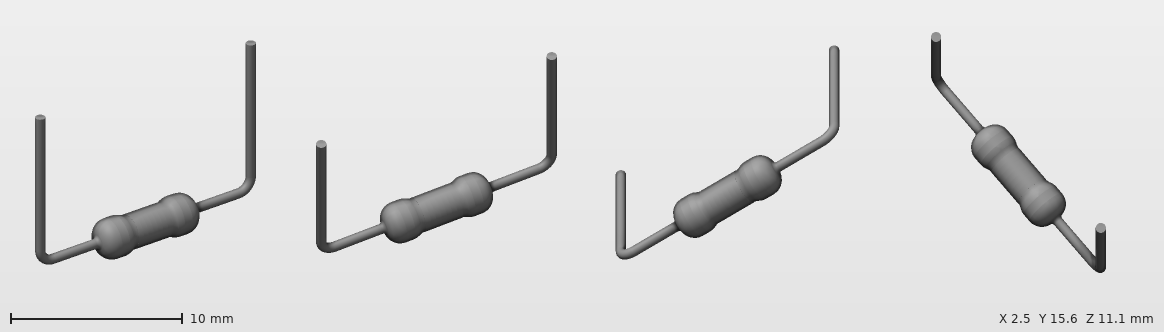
import cadquery as cq
import math


wire_diameter = 0.6
lead_pitch = 15.0
bend_radius = 0.9
lead_top = 9.85

cap_diameter = 2.5
waist_diameter = 2.12
waist_half_length = 1.2
cap_inner_end = 1.95
cap_outer_end = 2.5
cap_rounding = 0.91
collar_fillet = 0.25

sleeve_diameter = 2.15
ring_count = 7

wire_radius = wire_diameter / 2
cap_radius = cap_diameter / 2
waist_radius = waist_diameter / 2
sleeve_radius = sleeve_diameter / 2


def point_on_arc(center, radius, angle):
    """Point in the (Y, radius) half plane; the angle is measured from +Y."""
    return (center[0] + radius * math.cos(angle), center[1] + radius * math.sin(angle))


def make_cap():
    """The +Y cap with its shoulder and collar, revolved about the Y axis."""
    shoulder_length = cap_inner_end - waist_half_length
    shoulder_rise = cap_radius - waist_radius
    shoulder_radius = (shoulder_length**2 + shoulder_rise**2) / (4 * shoulder_rise)
    shoulder_angle = math.asin(shoulder_length / 2 / shoulder_radius)
    concave_center = (waist_half_length, waist_radius + shoulder_radius)
    convex_center = (cap_inner_end, cap_radius - shoulder_radius)
    concave_middle = point_on_arc(concave_center, shoulder_radius, (shoulder_angle - math.pi) / 2)
    convex_middle = point_on_arc(convex_center, shoulder_radius, (shoulder_angle + math.pi) / 2)
    shoulder_middle = (
        (waist_half_length + cap_inner_end) / 2,
        (waist_radius + cap_radius) / 2,
    )

    rounding_center = (cap_outer_end, cap_radius - cap_rounding)
    center_distance = cap_rounding + collar_fillet
    collar_center_radius = wire_radius + collar_fillet
    contact_angle = math.asin((collar_center_radius - rounding_center[1]) / center_distance)
    collar_center = point_on_arc(rounding_center, center_distance, contact_angle)
    contact = point_on_arc(rounding_center, cap_rounding, contact_angle)
    rounding_middle_angle = (contact_angle + math.pi / 2) / 2
    rounding_middle = point_on_arc(rounding_center, cap_rounding, rounding_middle_angle)
    collar_middle_angle = math.pi + rounding_middle_angle
    collar_middle = point_on_arc(collar_center, collar_fillet, collar_middle_angle)
    collar_end = (collar_center[0], wire_radius)

    profile = (
        cq.Workplane("YZ")
        .moveTo(waist_half_length, 0)
        .lineTo(waist_half_length, waist_radius)
        .threePointArc(concave_middle, shoulder_middle)
        .threePointArc(convex_middle, (cap_inner_end, cap_radius))
        .lineTo(cap_outer_end, cap_radius)
        .threePointArc(rounding_middle, contact)
        .threePointArc(collar_middle, collar_end)
        .lineTo(collar_end[0], 0)
        .close()
    )
    return profile.revolve(360, (0, 0, 0), (1, 0, 0))


def make_waist():
    """Straight waist sleeve whose surface is divided into equal ring faces."""
    ring_width = 2 * waist_half_length / ring_count
    profile = cq.Workplane("YZ").moveTo(-waist_half_length, 0)
    for index in range(ring_count + 1):
        profile = profile.lineTo(-waist_half_length + index * ring_width, sleeve_radius)
    profile = profile.lineTo(waist_half_length, 0).close()
    return profile.revolve(360, (0, 0, 0), (1, 0, 0), clean=False)


def make_wire():
    """One continuous round wire through the body, bent up at both ends."""
    lead_y = lead_pitch / 2
    bend_start = lead_y - bend_radius
    bend_offset = bend_radius * math.sin(math.pi / 4)
    bend_middle = (bend_start + bend_offset, bend_radius - bend_offset)
    path = (
        cq.Workplane("YZ")
        .moveTo(-lead_y, lead_top)
        .lineTo(-lead_y, bend_radius)
        .threePointArc((-bend_middle[0], bend_middle[1]), (-bend_start, 0))
        .lineTo(bend_start, 0)
        .threePointArc(bend_middle, (lead_y, bend_radius))
        .lineTo(lead_y, lead_top)
    )
    section = cq.Workplane("XY", origin=(0, -lead_y, lead_top)).circle(wire_radius)
    return section.sweep(path)


cap = make_cap()
body = make_waist().union(cap, clean=False).union(cap.mirror("XZ"), clean=False)
result = body.union(make_wire(), clean=False)